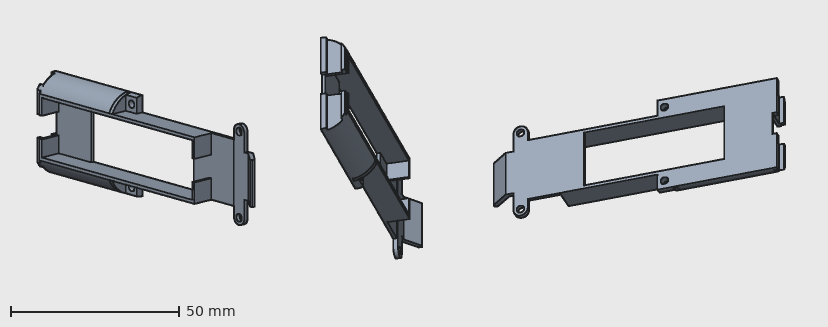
import cadquery as cq

LENGTH = 91.1
DEPTH = 8.0
HEIGHT = 31.2

WALL = 1.1
RIGHT_END_WALL = 0.9
TRAY_START = 1.5
TRAY_END = 68.7
TRAY_HALF_HEIGHT = 10.3
END_WALL_HALF_GAP = 3.6
WINDOW_START = 16.6
WINDOW_END = 60.95

BAR_START = 78.8
BAR_WIDTH = 4.5
BAR_THICKNESS = 1.5
BAR_HOLE_HEIGHT = 13.3
HOLE_DIAMETER = 2.4

TAB_HALF_HEIGHT = 7.3
TAB_OUTER_BEND = 85.7
TAB_INNER_BEND = 85.1
TAB_TIP_DEPTH = 5.6
TAB_TIP_FLAT = 0.9
TAB_TIP_FACE = 1.1

WING_EDGE = 0.9
WING_ARC_DEPTH = 6.4
WING_ARC_HEIGHT = 12.75
CAP_START = 31.7
CAP_THICKNESS = 1.4
CAP_END = CAP_START + CAP_THICKNESS
LUG_END = 37.7
LUG_DEPTH = 2.5
LUG_HOLE_X = 35.5
LUG_HOLE_HEIGHT = 12.8

REAR_RAIL_DEPTH = 1.7
FRONT_RAIL_START = 6.4
FRONT_RAIL_END = 7.6

SIDES = (1, -1)


def block(x_start, x_end, depth_start, depth_end, z_start, z_end):
    """Box between two X positions, two depths below the rear face and two heights."""
    return cq.Workplane("XY").box(
        x_end - x_start, depth_end - depth_start, abs(z_end - z_start), centered=False
    ).translate((x_start, -depth_end, min(z_start, z_end)))


def wing_section(x_start, x_end, side):
    """Extruded wing profile, straight at the rear edge and arched towards the front."""
    return (
        cq.Workplane("YZ", origin=(x_start, 0, 0))
        .moveTo(0, side * TRAY_HALF_HEIGHT)
        .lineTo(0, side * HEIGHT / 2)
        .lineTo(-WING_EDGE, side * HEIGHT / 2)
        .threePointArc(
            (-WING_ARC_DEPTH, side * WING_ARC_HEIGHT),
            (-DEPTH, side * TRAY_HALF_HEIGHT),
        )
        .close()
        .extrude(x_end - x_start)
    )


def front_hole(x, z):
    """Round cutter running through the full depth."""
    return cq.Workplane("XZ").center(x, z).circle(HOLE_DIAMETER / 2).extrude(DEPTH)


def make_tray():
    inner_height = TRAY_HALF_HEIGHT - WALL
    tray = block(TRAY_START, TRAY_END, 0, DEPTH, -TRAY_HALF_HEIGHT, TRAY_HALF_HEIGHT)
    tray = tray.cut(
        block(TRAY_START + WALL, TRAY_END - RIGHT_END_WALL, WALL, DEPTH, -inner_height, inner_height)
    )
    tray = tray.cut(
        block(TRAY_START, TRAY_END, WALL, DEPTH, -END_WALL_HALF_GAP, END_WALL_HALF_GAP)
    )
    tray = tray.union(block(TRAY_END, BAR_START, 0, WALL, -TRAY_HALF_HEIGHT, TRAY_HALF_HEIGHT))
    return tray.cut(block(WINDOW_START, WINDOW_END, 0, WALL, -inner_height, inner_height))


def make_bar():
    middle = BAR_START + BAR_WIDTH / 2
    bar = (
        cq.Workplane("XZ")
        .center(middle, 0)
        .slot2D(HEIGHT, BAR_WIDTH, 90)
        .extrude(BAR_THICKNESS)
    )
    for side in SIDES:
        bar = bar.cut(front_hole(middle, side * BAR_HOLE_HEIGHT))
    return bar


def make_tab():
    root = BAR_START + BAR_WIDTH
    return (
        cq.Workplane("XY")
        .polyline([
            (root, 0),
            (TAB_OUTER_BEND, 0),
            (LENGTH, -TAB_TIP_DEPTH + TAB_TIP_FACE),
            (LENGTH, -TAB_TIP_DEPTH),
            (LENGTH - TAB_TIP_FLAT, -TAB_TIP_DEPTH),
            (TAB_INNER_BEND, -BAR_THICKNESS),
            (root, -BAR_THICKNESS),
        ])
        .close()
        .extrude(TAB_HALF_HEIGHT, both=True)
    )


def make_wing(side):
    """Wing with its rails and drilled lug, leaving the seat of the end cap open."""
    outer = side * HEIGHT / 2
    wing = wing_section(TRAY_START, LUG_END, side)
    wing = wing.cut(block(CAP_END, LUG_END, LUG_DEPTH, DEPTH, side * TRAY_HALF_HEIGHT, outer))
    wing = wing.cut(block(CAP_START, CAP_END, WING_EDGE, DEPTH, side * TRAY_HALF_HEIGHT, outer))
    wing = wing.cut(front_hole(LUG_HOLE_X, side * LUG_HOLE_HEIGHT))

    end_profile = wing_section(0, TRAY_START, side).union(
        block(0, TRAY_START, 0, DEPTH, side * END_WALL_HALF_GAP, side * TRAY_HALF_HEIGHT)
    )
    rails = end_profile.cut(
        block(0, TRAY_START, REAR_RAIL_DEPTH, FRONT_RAIL_START, 0, outer)
    ).cut(block(0, TRAY_START, FRONT_RAIL_END, DEPTH, 0, outer))
    return wing.union(rails)


def make_end_cap(side):
    cap = wing_section(CAP_START, CAP_END, side)
    return cap.cut(
        block(CAP_START, CAP_END, 0, WING_EDGE, side * TRAY_HALF_HEIGHT, side * HEIGHT / 2)
    )


holder = make_tray().union(make_bar()).union(make_tab())
for wing_side in SIDES:
    holder = holder.union(make_wing(wing_side))

end_caps = [make_end_cap(cap_side) for cap_side in SIDES]

result = cq.Compound.makeCompound([holder.solids().val(), *[cap.solids().val() for cap in end_caps]])